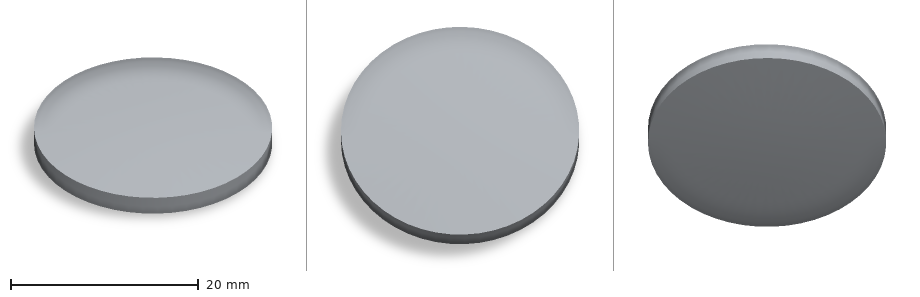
import cadquery as cq

diameter = 25.4
center_thickness = 3.07
edge_thickness = 2.08

radius = diameter / 2
half_center = center_thickness / 2
half_edge = edge_thickness / 2
dome_height = half_center - half_edge
sphere_radius = (radius**2 + dome_height**2) / (2 * dome_height)

mid_radius = radius / 2
sphere_center_depth = sphere_radius - half_center
mid_height = (sphere_radius**2 - mid_radius**2) ** 0.5 - sphere_center_depth

half_section = (
    cq.Workplane("XZ")
    .moveTo(0, -half_center)
    .threePointArc((mid_radius, -mid_height), (radius, -half_edge))
    .lineTo(radius, half_edge)
    .threePointArc((mid_radius, mid_height), (0, half_center))
    .close()
)

result = half_section.revolve(360, (0, 0, 0), (0, 1, 0))